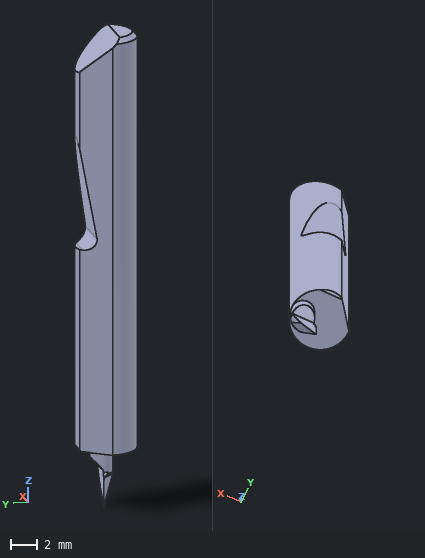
import cadquery as cq
import math

total_length = 37.88
shank_radius = 2.4
shank_bottom = 4.9
top_chamfer = 0.38
bottom_bevel = 0.23
side_flat_start_y = 0.08
side_flat_end_x = -0.75
top_slope_start_y = -0.6

notch_floor_y = 1.1
notch_bottom = 20.9
notch_top = 29.65
notch_fillet = 1.0

neck_radius = 0.9
neck_x = shank_radius - neck_radius
rake_y = 0.08
rake_bottom = 2.88
tip_x = 0.38
tip_depth = 0.38
tip_corner_height = 2.12
tip_shoulder_height = 2.7
side_relief_angle = 42.0
side_relief_top = 2.35
side_relief_ceiling_slope = 1.7
end_edge_slope = 1.03
end_relief_slope = 1.6
heel_start_x = 1.63
heel_edge_slope = 1.8
heel_relief_slope = 1.0

reach = 7.58


def yz_cutter(points):
    """Prism across the whole part from a YZ outline."""
    return cq.Workplane("YZ").polyline(points).close().extrude(reach, both=True)


def space_below(point, x_slope, y_slope):
    """Block under the plane that passes through point and rises by the given slopes."""
    normal = cq.Vector(-x_slope, -y_slope, 1)
    plane = cq.Plane(origin=point, xDir=(1, 0, x_slope), normal=normal)
    return cq.Workplane(plane).rect(2 * reach, 2 * reach).extrude(-reach)


def make_shank():
    shank = (
        cq.Workplane("XY")
        .workplane(offset=shank_bottom)
        .circle(shank_radius)
        .extrude(total_length - shank_bottom)
        .faces(">Z")
        .chamfer(top_chamfer)
    )

    flat_start_x = -math.sqrt(shank_radius**2 - side_flat_start_y**2)
    flat_end_y = math.sqrt(shank_radius**2 - side_flat_end_x**2)
    side_flat = (
        cq.Workplane("XY")
        .polyline([
            (flat_start_x, side_flat_start_y),
            (side_flat_end_x, flat_end_y),
            (side_flat_end_x, reach),
            (-reach, reach),
            (-reach, side_flat_start_y),
        ])
        .close()
        .extrude(total_length)
    )

    top_slope = yz_cutter([
        (top_slope_start_y, total_length),
        (top_slope_start_y + reach, total_length - reach),
        (top_slope_start_y + reach, total_length),
    ])
    bevel = yz_cutter([
        (shank_radius - bottom_bevel, shank_bottom),
        (shank_radius, shank_bottom),
        (shank_radius, shank_bottom + bottom_bevel),
    ])
    return shank.cut(side_flat).cut(top_slope).cut(bevel).cut(make_notch())


def make_notch():
    """Sloping notch with a rounded lower corner."""
    fillet_top = notch_bottom + notch_fillet
    fillet_center_y = notch_floor_y + notch_fillet
    diagonal = notch_fillet * math.sqrt(0.5)
    return (
        cq.Workplane("YZ")
        .moveTo(shank_radius, notch_top)
        .lineTo(notch_floor_y, fillet_top)
        .threePointArc(
            (fillet_center_y - diagonal, fillet_top - diagonal),
            (fillet_center_y, notch_bottom),
        )
        .lineTo(shank_radius, notch_bottom)
        .close()
        .extrude(reach, both=True)
    )


def make_cutter():
    neck = cq.Workplane("XY").center(neck_x, 0).circle(neck_radius).extrude(shank_bottom)

    point = (
        cq.Workplane("XZ", origin=(0, rake_y, 0))
        .polyline([
            (tip_x, 0),
            (neck_x, 0),
            (neck_x, tip_shoulder_height),
            (neck_x - neck_radius, tip_shoulder_height),
            (tip_x, tip_corner_height),
        ])
        .close()
        .extrude(tip_depth)
    )

    rake = yz_cutter([
        (rake_y, 0),
        (reach, 0),
        (reach, rake_bottom + reach - rake_y),
        (rake_y, rake_bottom),
    ])

    angle = math.radians(side_relief_angle)
    outward = (-math.cos(angle), -math.sin(angle), 0)
    along_face = (-math.sin(angle), math.cos(angle), 0)
    relief_plane = cq.Plane(origin=(tip_x, rake_y, 0), xDir=outward, normal=along_face)
    side_relief = (
        cq.Workplane(relief_plane)
        .polyline([
            (0, 0),
            (neck_radius, 0),
            (neck_radius, side_relief_top + neck_radius * side_relief_ceiling_slope),
            (0, side_relief_top),
        ])
        .close()
        .extrude(reach, both=True)
    )

    heel_start_z = end_edge_slope * (heel_start_x - tip_x)
    end_relief = space_below((tip_x, rake_y, 0), end_edge_slope, -end_relief_slope)
    heel_relief = space_below(
        (heel_start_x, rake_y, heel_start_z), heel_edge_slope, -heel_relief_slope
    )
    return neck.union(point).cut(rake).cut(side_relief).cut(end_relief).cut(heel_relief)


result = make_shank().union(make_cutter())